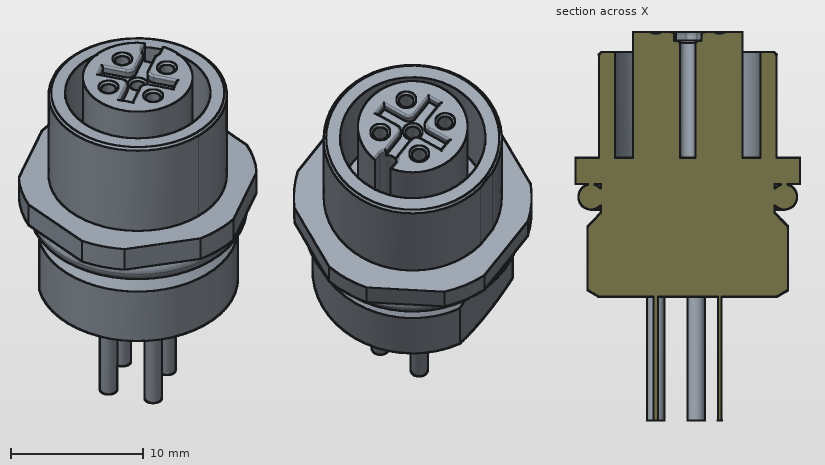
import cadquery as cq
import math

body_bottom = 9.36
body_height = 6.37
gasket_thickness = 1.95
flange_thickness = 2.0
barrel_length = 8.0
insert_projection = 1.5

body_top = body_bottom + body_height
flange_bottom = 17.9
flange_top = flange_bottom + flange_thickness
barrel_top = flange_top + barrel_length
insert_top = barrel_top + insert_projection

body_radius = 7.6
body_bottom_radius = 6.75
body_bottom_chamfer_height = 0.5
neck_radius = 6.6
body_top_chamfer_height = 1.05

gasket_outer_radius = 8.3
gasket_section_radius = gasket_thickness / 2

flange_across_flats = 17.0
flange_corner_radius = 9.0
flange_turn = 30.0

barrel_radius = 6.75
barrel_chamfer = 0.2
socket_radius = 5.5
socket_floor = flange_top

flat_distance = 6.7
flat_direction = 210.0

insert_radius = 4.15
insert_height = insert_top - socket_floor
contact_circle_radius = 2.5
contact_count = 4
first_contact_angle = 75.0
contact_hole_radius = 0.56
contact_hole_chamfer = 0.19
key_direction = 120.0
key_centre_distance = 3.44
key_radius = 0.7
groove_width = 0.96
groove_reach = 2.91
groove_depth = 0.65
groove_corner_radius = 0.6
groove_rounding = 0.17

wire_radius = 0.67


def disc(radius, bottom, top):
    """Solid cylinder on the main axis between two levels."""
    return cq.Workplane("XY").workplane(offset=bottom).circle(radius).extrude(top - bottom)


def polar(distance, angle):
    """Point at a distance from the main axis, in the direction of an angle in degrees."""
    direction = math.radians(angle)
    return (distance * math.cos(direction), distance * math.sin(direction))


def contact_points():
    """Centres of the contacts spaced evenly around the axis."""
    step = 360.0 / contact_count
    return [polar(contact_circle_radius, first_contact_angle + i * step) for i in range(contact_count)]


def make_body():
    """Lower body turned with a chamfer at each end, and its neck up to the flange."""
    profile = [
        (0, body_bottom),
        (body_bottom_radius, body_bottom),
        (body_radius, body_bottom + body_bottom_chamfer_height),
        (body_radius, body_top - body_top_chamfer_height),
        (neck_radius, body_top),
        (neck_radius, flange_bottom),
        (0, flange_bottom),
    ]
    return cq.Workplane("XZ").polyline(profile).close().revolve(360, (0, 0), (0, 1))


def make_gasket():
    """Sealing ring seated against the underside of the flange."""
    centre_radius = gasket_outer_radius - gasket_section_radius
    centre_level = flange_bottom - gasket_section_radius
    section = cq.Workplane("XZ").center(centre_radius, centre_level).circle(gasket_section_radius)
    return section.revolve(360, (-centre_radius, 0), (-centre_radius, 1))


def make_flange():
    """Hexagon turned to set two sides square to the Y axis, with its corners trimmed to a circle."""
    hexagon = (
        cq.Workplane("XY")
        .workplane(offset=flange_bottom)
        .polygon(6, flange_across_flats, circumscribed=True)
        .extrude(flange_thickness)
        .rotate((0, 0, 0), (0, 0, 1), flange_turn)
    )
    return hexagon.intersect(disc(flange_corner_radius, flange_bottom, flange_top))


def make_barrel():
    """Barrel with a chamfered outer rim and an open socket."""
    barrel = disc(barrel_radius, flange_top, barrel_top).faces(">Z").edges().chamfer(barrel_chamfer)
    return barrel.cut(disc(socket_radius, socket_floor, barrel_top))


def make_locating_flat():
    """Block beyond the locating flat, tall enough to cut every round section."""
    depth = flange_corner_radius - flat_distance
    width = 2 * flange_corner_radius
    block = cq.Workplane("XY").box(depth, width, insert_top, centered=(False, True, False))
    return block.translate((flat_distance, 0, 0)).rotate((0, 0, 0), (0, 0, 1), flat_direction)


def make_keyway():
    """Cutter for the keyway: parallel sides running outward from a round end."""
    length = 2 * key_radius
    sides = cq.Workplane("XY").box(length, 2 * key_radius, insert_height, centered=(False, True, False))
    sides = sides.translate((key_centre_distance, 0, socket_floor))
    round_end = disc(key_radius, socket_floor, insert_top).translate((key_centre_distance, 0, 0))
    return sides.union(round_end).rotate((0, 0, 0), (0, 0, 1), key_direction)


def make_cross_groove():
    """Cross-shaped cutter with rounded inner corners; one arm runs on into the keyway."""
    floor = cq.Workplane("XY").workplane(offset=insert_top - groove_depth)
    key_arm_length = key_centre_distance + groove_reach
    key_arm_middle = (key_centre_distance - groove_reach) / 2
    key_arm = floor.center(key_arm_middle, 0).rect(key_arm_length, groove_width).extrude(groove_depth)
    side_arms = floor.rect(groove_width, 2 * groove_reach).extrude(groove_depth)
    cross = key_arm.union(side_arms)
    corner_limit = groove_width
    inner_corners = cq.selectors.BoxSelector(
        (-corner_limit, -corner_limit, 0), (corner_limit, corner_limit, insert_top)
    )
    cross = cross.edges("|Z").edges(inner_corners).fillet(groove_corner_radius)
    return cross.rotate((0, 0, 0), (0, 0, 1), key_direction)


def make_contact_hole(centre, mouth_level):
    """Cutter for one contact hole with a conical lead-in at its mouth."""
    lead_in_radius = contact_hole_radius + contact_hole_chamfer
    profile = [
        (0, socket_floor),
        (contact_hole_radius, socket_floor),
        (contact_hole_radius, mouth_level - contact_hole_chamfer),
        (lead_in_radius, mouth_level),
        (0, mouth_level),
    ]
    hole = cq.Workplane("XZ").polyline(profile).close().revolve(360, (0, 0), (0, 1))
    return hole.translate((centre[0], centre[1], 0))


def make_insert():
    """Round insert with a keyway, a cross groove and five contact holes."""
    blank = disc(socket_radius, socket_floor, insert_top)
    insert = blank.cut(make_keyway()).cut(make_cross_groove())
    insert = insert.faces(">Z").edges().fillet(groove_rounding)
    insert = insert.intersect(disc(insert_radius, socket_floor, insert_top))
    for centre in contact_points():
        insert = insert.cut(make_contact_hole(centre, insert_top))
    return insert.cut(make_contact_hole((0, 0), insert_top - groove_depth))


def make_wires():
    """Straight wires leaving the bottom of the body, one below each outer contact."""
    return cq.Workplane("XY").pushPoints(contact_points()).circle(wire_radius).extrude(body_bottom)


flatted_parts = make_body().union(make_barrel()).cut(make_locating_flat())
result = (
    make_flange()
    .union(flatted_parts)
    .union(make_gasket())
    .union(make_insert())
    .union(make_wires())
)